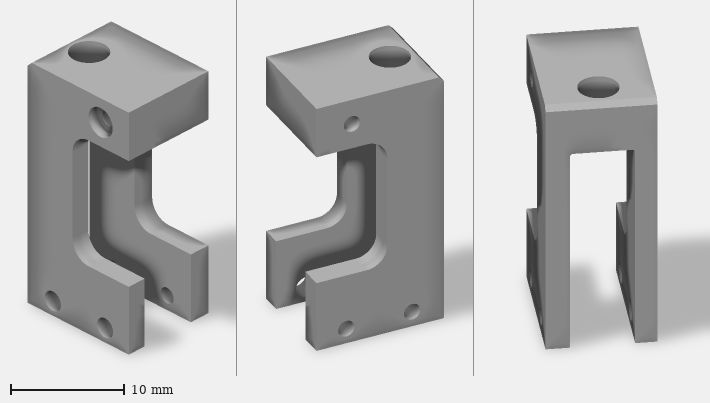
import cadquery as cq

LENGTH = 12.6
WIDTH = 10.0
HEIGHT = 25.0
TOP_CHAMFER = 0.5

FRONT_LEG = 2.0
REAR_LEG = 2.2
BRIDGE_HEIGHT = 5.0
SLOT_FILLET = 0.25

SPINE_LENGTH = 5.6
FOOT_HEIGHT = 7.0
WINDOW_FILLET = 2.0

BRIDGE_HOLE_DIAMETER = 3.75
BRIDGE_HOLE_X = 2.8
BRIDGE_HOLE_Y = (FRONT_LEG + WIDTH - REAR_LEG) / 2

SCREW_DIAMETER = 1.6
SCREW_X = 9.1
SCREW_Z = HEIGHT - BRIDGE_HEIGHT / 2
COUNTERBORE_DIAMETER = 3.0
COUNTERBORE_DEPTH = 1.0

FOOT_HOLE_XS = (3.15, 9.65)
FOOT_HOLE_Z = 1.5
FOOT_CLEARANCE_DIAMETER = 2.0
FOOT_REAR_DIAMETER = 1.6


def block():
    """Solid block with its upper left edge chamfered."""
    body = cq.Workplane("XY").box(LENGTH, WIDTH, HEIGHT, centered=False)
    return body.edges("<X and >Z").chamfer(TOP_CHAMFER)


def leg_slot():
    """Cutter that separates the legs, rounded in its upper corners."""
    slot_width = WIDTH - FRONT_LEG - REAR_LEG
    slot_height = HEIGHT - BRIDGE_HEIGHT
    slot = cq.Workplane("XY").box(LENGTH, slot_width, slot_height, centered=False)
    return slot.edges("|X and >Z").fillet(SLOT_FILLET).translate((0, FRONT_LEG, 0))


def side_window():
    """Cutter for the window between bridge and feet, rounded in its inner corners."""
    window_length = LENGTH - SPINE_LENGTH
    window_height = HEIGHT - BRIDGE_HEIGHT - FOOT_HEIGHT
    window = cq.Workplane("XY").box(window_length, WIDTH, window_height, centered=False)
    window = window.edges("|Y and <X").fillet(WINDOW_FILLET)
    return window.translate((SPINE_LENGTH, 0, FOOT_HEIGHT))


def bore_along_y(x, z, diameter, depth):
    """Cylindrical cutter running from the front face towards +Y."""
    return cq.Workplane("XZ", origin=(x, 0, z)).circle(diameter / 2).extrude(-depth)


def bridge_hole():
    """Vertical cutter through the bridge, ending in the leg slot."""
    top = cq.Workplane("XY", origin=(BRIDGE_HOLE_X, BRIDGE_HOLE_Y, HEIGHT))
    return top.circle(BRIDGE_HOLE_DIAMETER / 2).extrude(-BRIDGE_HEIGHT)


result = block().cut(leg_slot()).cut(side_window()).cut(bridge_hole())

result = result.cut(bore_along_y(SCREW_X, SCREW_Z, SCREW_DIAMETER, WIDTH))
result = result.cut(bore_along_y(SCREW_X, SCREW_Z, COUNTERBORE_DIAMETER, COUNTERBORE_DEPTH))

for foot_hole_x in FOOT_HOLE_XS:
    result = result.cut(bore_along_y(foot_hole_x, FOOT_HOLE_Z, FOOT_REAR_DIAMETER, WIDTH))
    result = result.cut(bore_along_y(foot_hole_x, FOOT_HOLE_Z, FOOT_CLEARANCE_DIAMETER, FRONT_LEG))